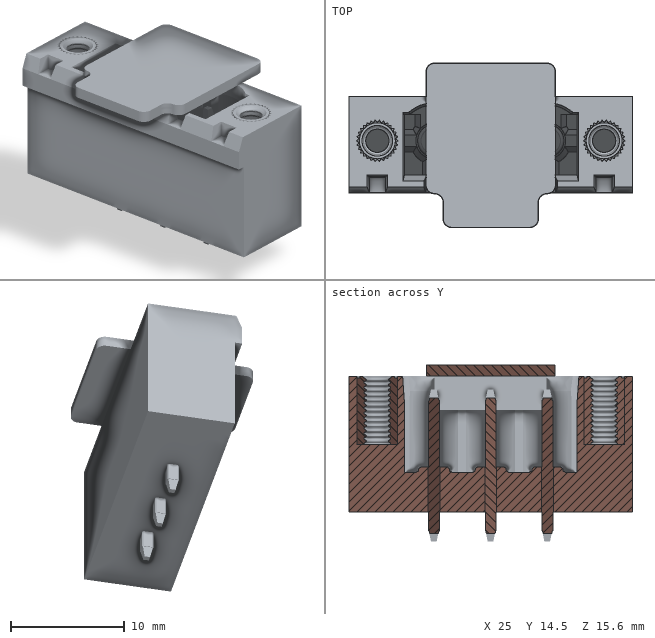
import cadquery as cq
import math

LENGTH = 25
HEIGHT = 11.98
HALF_DEPTH = 3.92
LIP_REACH = 0.68
LIP_HEIGHT = 3
LIP_CHAMFER_HEIGHT = 1.28
LIP_CHAMFER_DEPTH = 0.52

PITCH = 5
PIN_XS = [-PITCH, 0, PITCH]
INSERT_XS = [-2 * PITCH, 2 * PITCH]
NOTCH_XS = INSERT_XS + PIN_XS

NOTCH_TOP_WIDTH = 1.8
NOTCH_FLOOR_WIDTH = 1.4
NOTCH_TOP_BACK = -3.02
NOTCH_FLOOR_BACK = -3.22
NOTCH_FLOOR_Z = HEIGHT - LIP_CHAMFER_HEIGHT

CAVITY_FLOOR_Z = 3
MOUTH_DEPTH = 2.12
CAVITY_TOP = (7.75, -3.55, 2.48)
CAVITY_FLOOR = (7.6, -3, 2.3)

PLATEAU_HEIGHT = 0.5
PLATEAU_Z = CAVITY_FLOOR_Z + PLATEAU_HEIGHT
BACK_HALF_LENGTH = 6.68
FRONT_HALF_LENGTH = 6
RIDGE_HALF_WIDTH = 1

BOSS_RADIUS = 3.2 / 2
BOSS_STEP = 0.1
COLLAR_RADIUS = 1.45
COLLAR_HEIGHT = 0.5
COLLAR_FILLET = 0.3

SCALLOP_RADIUS = 3.15
SCALLOP_MOUTH_RADIUS = 3.35
SCALLOP_MOUTH_DEPTH = 1.3

PIN_WIDTH = 1
PIN_CHAMFER = 0.1
PIN_TOP_Z = 10.8
PIN_BOTTOM_Z = -2.6
PIN_TIP_WIDTH = 0.5
PIN_TIP_LENGTH = 0.95

INSERT_DEPTH = 6
KNURL_TEETH = 30
KNURL_TIP_RADIUS = 1.82
KNURL_ROOT_RADIUS = 1.62
INSERT_COLLAR_RADIUS = 3.18 / 2
INSERT_COLLAR_HEIGHT = 0.12
THREAD_MAJOR_RADIUS = 1.22
THREAD_MINOR_RADIUS = 1.02
THREAD_PITCH = 0.45
THREAD_FLAT = 0.08
BORE_MOUTH_RADIUS = 1.35

PLATE_THICKNESS = 1
PLATE_HALF_WIDTH = 5.7
PLATE_BACK = 6.85
SHOULDER_Y = -4.68
TAB_FRONT = -7.65
PLATE_RADIUS = 0.75
TAB_HALF_WIDTH = PLATE_HALF_WIDTH - 2 * PLATE_RADIUS
PLUG_FRONT = CAVITY_FLOOR[1]
PLUG_BACK = 1.5
PLUG_HALF_LENGTH = 4.95
PLUG_SLOT_WIDTH = 1.15
PLUG_DEPTH = 3


def block(x0, x1, y0, y1, z0, z1):
    return cq.Workplane("XY").box(x1 - x0, y1 - y0, z1 - z0, centered=False).translate((x0, y0, z0))


def rectangle_wire(x0, x1, y0, y1, z):
    corners = [(x0, y0, z), (x1, y0, z), (x1, y1, z), (x0, y1, z)]
    return cq.Wire.makePolygon([cq.Vector(*corner) for corner in corners], close=True)


def square(x, width):
    """Bounds (x0, x1, y0, y1) of a square centred on the row of pins."""
    half = width / 2
    return (x - half, x + half, -half, half)


def tapered_block(lower, upper, z0, z1):
    """Straight-sided solid between two rectangles, each given as (x0, x1, y0, y1)."""
    wires = [rectangle_wire(*lower, z0), rectangle_wire(*upper, z1)]
    return cq.Workplane(cq.Solid.makeLoft(wires, True))


def cone(x, z0, r0, r1, height):
    return cq.Workplane(cq.Solid.makeCone(r0, r1, height, cq.Vector(x, 0, z0)))


def cylinder(x, z0, radius, height):
    return cq.Workplane(cq.Solid.makeCylinder(radius, height, cq.Vector(x, 0, z0)))


def lipped_block():
    lip_front = -HALF_DEPTH - LIP_REACH
    section = [
        (HALF_DEPTH, 0),
        (HALF_DEPTH, HEIGHT),
        (lip_front + LIP_CHAMFER_DEPTH, HEIGHT),
        (lip_front, HEIGHT - LIP_CHAMFER_HEIGHT),
        (lip_front, HEIGHT - LIP_HEIGHT),
        (-HALF_DEPTH, HEIGHT - LIP_HEIGHT),
        (-HALF_DEPTH, 0),
    ]
    return cq.Workplane("YZ").polyline(section).close().extrude(LENGTH / 2, both=True)


def lip_notch(x):
    front = -HALF_DEPTH - LIP_REACH
    floor = (x - NOTCH_FLOOR_WIDTH / 2, x + NOTCH_FLOOR_WIDTH / 2, front, NOTCH_FLOOR_BACK)
    top = (x - NOTCH_TOP_WIDTH / 2, x + NOTCH_TOP_WIDTH / 2, front, NOTCH_TOP_BACK)
    return tapered_block(floor, top, NOTCH_FLOOR_Z, HEIGHT)


def cavity():
    floor_x, floor_front, floor_back = CAVITY_FLOOR
    top_x, top_front, top_back = CAVITY_TOP
    floor = (-floor_x, floor_x, floor_front, floor_back)
    top = (-top_x, top_x, top_front, top_back)
    mouth_z = HEIGHT - MOUTH_DEPTH
    mouth = tapered_block(floor, top, mouth_z, HEIGHT)
    return block(*floor, CAVITY_FLOOR_Z, mouth_z).union(mouth)


def scallop(x):
    """Rear half of a round recess centred on a pin, flared at the mouth."""
    mouth_z = HEIGHT - SCALLOP_MOUTH_DEPTH
    well = cylinder(x, PLATEAU_Z, SCALLOP_RADIUS, mouth_z - PLATEAU_Z)
    mouth = cone(x, mouth_z, SCALLOP_RADIUS, SCALLOP_MOUTH_RADIUS, SCALLOP_MOUTH_DEPTH)
    floor_back = CAVITY_FLOOR[2]
    rear = block(-LENGTH / 2, LENGTH / 2, floor_back, HALF_DEPTH, 0, HEIGHT)
    return well.union(mouth).intersect(rear)


def floor_block(half_length, y0, y1):
    top_half_length = half_length - PLATEAU_HEIGHT
    base = (-half_length, half_length, y0, y1)
    top = (-top_half_length, top_half_length, y0, y1)
    return tapered_block(base, top, CAVITY_FLOOR_Z, PLATEAU_Z)


def floor_ridge():
    half_length = CAVITY_FLOOR[0]
    top_half_width = RIDGE_HALF_WIDTH - PLATEAU_HEIGHT
    base = (-half_length, half_length, -RIDGE_HALF_WIDTH, RIDGE_HALF_WIDTH)
    top = (-half_length, half_length, -top_half_width, top_half_width)
    return tapered_block(base, top, CAVITY_FLOOR_Z, PLATEAU_Z)


def pin_boss(x):
    flank = cone(x, CAVITY_FLOOR_Z, BOSS_RADIUS + PLATEAU_HEIGHT, BOSS_RADIUS, PLATEAU_HEIGHT)
    step = cylinder(x, PLATEAU_Z, BOSS_RADIUS, BOSS_STEP)
    collar = cylinder(x, PLATEAU_Z, COLLAR_RADIUS, COLLAR_HEIGHT).faces(">Z").edges().fillet(COLLAR_FILLET)
    return flank.union(step).union(collar)


def make_housing():
    floor_front = CAVITY_FLOOR[1]
    body = lipped_block().cut(cavity())
    body = body.union(floor_block(BACK_HALF_LENGTH, 0, HALF_DEPTH))
    body = body.union(floor_block(FRONT_HALF_LENGTH, floor_front, 0))
    body = body.union(floor_ridge())
    for x in PIN_XS:
        body = body.cut(scallop(x))
    for x in PIN_XS:
        body = body.union(pin_boss(x)).cut(pin_shaft(x))
    for x in NOTCH_XS:
        body = body.cut(lip_notch(x))
    for x in INSERT_XS:
        body = body.cut(knurled_prism(x, HEIGHT))
    return body


def pin_shaft(x):
    bottom = PIN_BOTTOM_Z + PIN_TIP_LENGTH
    top = PIN_TOP_Z - PIN_TIP_LENGTH
    return block(*square(x, PIN_WIDTH), bottom, top).edges("|Z").chamfer(PIN_CHAMFER)


def make_pin(x):
    shoulder_width = PIN_WIDTH - PIN_CHAMFER
    shoulder = square(x, shoulder_width)
    bottom = tapered_block(
        square(x, PIN_TIP_WIDTH), shoulder, PIN_BOTTOM_Z, PIN_BOTTOM_Z + PIN_TIP_LENGTH
    )
    top = tapered_block(shoulder, square(x, PIN_TIP_WIDTH), PIN_TOP_Z - PIN_TIP_LENGTH, PIN_TOP_Z)
    return pin_shaft(x).union(bottom).union(top)


def knurled_prism(x, top_z):
    """Toothed prism from the bottom of an insert up to the given level."""
    bottom_z = HEIGHT - INSERT_DEPTH
    points = []
    for i in range(2 * KNURL_TEETH):
        angle = math.pi * i / KNURL_TEETH
        radius = KNURL_TIP_RADIUS if i % 2 == 0 else KNURL_ROOT_RADIUS
        points.append((radius * math.cos(angle), radius * math.sin(angle)))
    prism = cq.Workplane("XY").polyline(points).close().extrude(top_z - bottom_z)
    return prism.translate((x, 0, bottom_z))


def threaded_bore(x):
    """Bore with ring-shaped trapezoidal grooves in place of a helical thread."""
    bottom_z = HEIGHT - INSERT_DEPTH
    mouth_depth = BORE_MOUTH_RADIUS - THREAD_MAJOR_RADIUS
    thread_top = HEIGHT - mouth_depth
    groove_count = int((thread_top - bottom_z) / THREAD_PITCH)
    flank_height = THREAD_PITCH / 2 - THREAD_FLAT
    profile = [(0, HEIGHT), (BORE_MOUTH_RADIUS, HEIGHT), (THREAD_MAJOR_RADIUS, thread_top)]
    for i in range(groove_count):
        crest_top = thread_top - i * THREAD_PITCH - flank_height
        crest_bottom = crest_top - THREAD_FLAT
        root_top = crest_bottom - flank_height
        profile.append((THREAD_MINOR_RADIUS, crest_top))
        profile.append((THREAD_MINOR_RADIUS, crest_bottom))
        profile.append((THREAD_MAJOR_RADIUS, root_top))
        profile.append((THREAD_MAJOR_RADIUS, root_top - THREAD_FLAT))
    profile += [(THREAD_MINOR_RADIUS, bottom_z), (0, bottom_z)]
    bore = cq.Workplane("XZ").polyline(profile).close().revolve(360, (0, 0, 0), (0, 1, 0))
    return bore.translate((x, 0, 0))


def make_insert(x):
    collar_z = HEIGHT - INSERT_COLLAR_HEIGHT
    body = knurled_prism(x, collar_z)
    body = body.union(cylinder(x, collar_z, INSERT_COLLAR_RADIUS, INSERT_COLLAR_HEIGHT))
    return body.cut(threaded_bore(x))


def plate_half():
    """Right half of the plate; its corners and the inner corner by the tab share one radius."""
    r = PLATE_RADIUS
    shoulder_x = PLATE_HALF_WIDTH - r
    outline = (
        cq.Workplane("XY")
        .workplane(offset=HEIGHT)
        .moveTo(0, PLATE_BACK)
        .lineTo(shoulder_x, PLATE_BACK)
        .radiusArc((PLATE_HALF_WIDTH, PLATE_BACK - r), r)
        .lineTo(PLATE_HALF_WIDTH, SHOULDER_Y + r)
        .radiusArc((shoulder_x, SHOULDER_Y), r)
        .radiusArc((TAB_HALF_WIDTH, SHOULDER_Y - r), -r)
        .lineTo(TAB_HALF_WIDTH, TAB_FRONT + r)
        .radiusArc((TAB_HALF_WIDTH - r, TAB_FRONT), r)
        .lineTo(0, TAB_FRONT)
        .close()
    )
    return outline.extrude(PLATE_THICKNESS)


def make_cap():
    plate = plate_half().union(plate_half().mirror("YZ"))
    plug_z = HEIGHT - PLUG_DEPTH
    plug = block(-PLUG_HALF_LENGTH, PLUG_HALF_LENGTH, PLUG_FRONT, PLUG_BACK, plug_z, HEIGHT)
    half_slot = PLUG_SLOT_WIDTH / 2
    slot = block(-PLUG_HALF_LENGTH, PLUG_HALF_LENGTH, -half_slot, half_slot, plug_z, HEIGHT)
    return plate.union(plug.cut(slot))


housing = make_housing()
cap = make_cap()
pins = [make_pin(x) for x in PIN_XS]
inserts = [make_insert(x) for x in INSERT_XS]

bodies = [housing, cap, *pins, *inserts]
result = cq.Compound.makeCompound([body.val() for body in bodies])